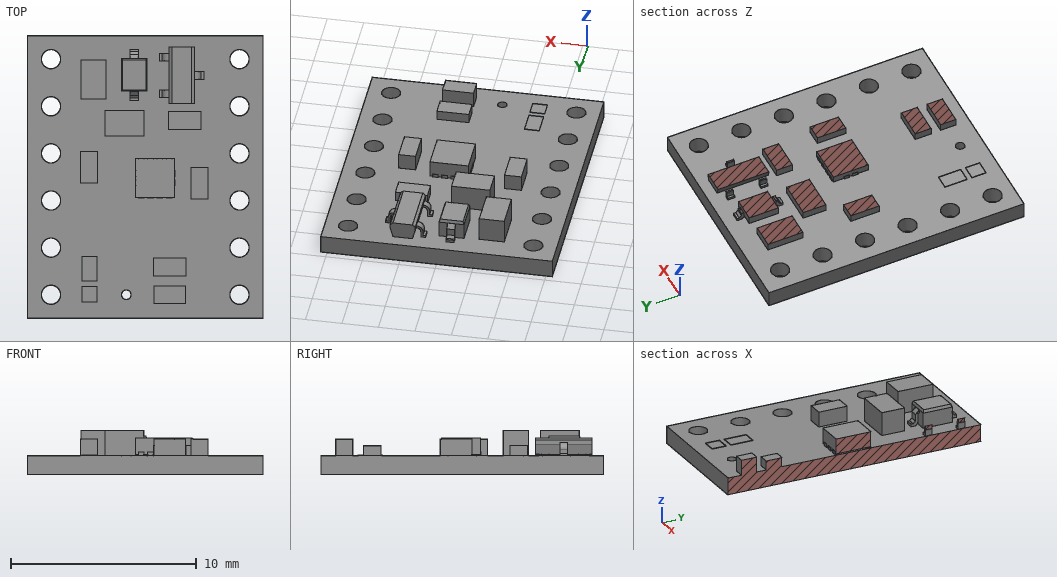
import cadquery as cq

BOARD_LENGTH = 15.24
HOLES_PER_ROW = 6
HOLE_PITCH = BOARD_LENGTH / HOLES_PER_ROW
BOARD_WIDTH = BOARD_LENGTH - HOLE_PITCH
BOARD_THICKNESS = 1.02
PIN_HOLE_DIAMETER = 1.02
SMALL_HOLE_DIAMETER = 0.5
ROW_X = (BOARD_WIDTH - HOLE_PITCH) / 2
SMALL_HOLE_X = -1.02
SMALL_HOLE_Y = (HOLE_PITCH - BOARD_LENGTH) / 2

CAPACITOR_0805 = (2.1, 1.37, 1.35)
CAPACITOR_0603 = (1.7, 0.93, 0.88)
RESISTOR_0603 = (1.75, 0.96, 0.53)

CHIP_PLACEMENTS = [
    (CAPACITOR_0805, -2.79, 5.26, True),
    (CAPACITOR_0805, -1.13, 2.9, False),
    (RESISTOR_0603, 2.13, 3.05, False),
    (CAPACITOR_0603, -3.03, 0.52, True),
    (CAPACITOR_0603, 2.93, -0.34, True),
    (RESISTOR_0603, 1.33, -4.85, False),
    (CAPACITOR_0603, 1.33, -6.35, False),
]

PAD_X = -3.02
PAD_WIDTH = 0.81
PAD_THICKNESS = 0.03
LONG_PAD_Y, LONG_PAD_LENGTH = -4.95, 1.33
SHORT_PAD_Y, SHORT_PAD_LENGTH = -6.32, 0.84

SENSOR_CENTER = (0.53, -0.06)
SENSOR_SIDE = 2.1
SENSOR_TOP = 0.96
SENSOR_GAP = 0.05
CONTACT_PITCH = 0.5
CONTACT_WIDTH = 0.3
CONTACT_DEPTH = 0.27
CONTACT_HEIGHT = 0.18
CONTACT_PROTRUSION = 0.02
CONTACTS_ALONG_X = 4
CONTACTS_ALONG_Y = 2

DIODE_CENTER = (-0.6, 5.5)
DIODE_WIDTH = 1.37
DIODE_LENGTH = 1.75
DIODE_HEIGHT = 1.07
DIODE_BEVEL_HEIGHT = 0.17
DIODE_BEVEL_INSET = 0.06
DIODE_LEAD_WIDTH = 0.44
DIODE_LEAD_REACH = 1.37
DIODE_LEAD_TOP = 0.9
DIODE_LEAD_THICKNESS = 0.15
DIODE_FOOT_LENGTH = 0.12
DIODE_LOWER_BEND = 0.14
DIODE_UPPER_BEND = 0.23

TRANSISTOR_CENTER = (1.97, 5.47)
TRANSISTOR_LENGTH = 3.05
TRANSISTOR_WIDTH = 1.37
TRANSISTOR_TOP = 0.96
TRANSISTOR_BOTTOM = 0.06
TRANSISTOR_TOP_INSET = 0.15
TRANSISTOR_BOTTOM_INSET = 0.15
TRANSISTOR_SIDE_TOP = 0.84
TRANSISTOR_SIDE_BOTTOM = 0.61
TRANSISTOR_LEAD_PITCH = 0.99
TRANSISTOR_LEAD_WIDTH = 0.41
TRANSISTOR_LEAD_REACH = 1.19
TRANSISTOR_LEAD_TOP = 0.7
TRANSISTOR_LEAD_THICKNESS = 0.12
TRANSISTOR_FOOT_LENGTH = 0.14
TRANSISTOR_BEND_RADIUS = 0.37

SEAT = 0.08


def block(size_x, size_y, bottom, top, x=0.0, y=0.0):
    """Box with its bottom and top given as heights above the board's top face."""
    base = cq.Workplane("XY").workplane(offset=BOARD_THICKNESS + bottom).center(x, y)
    return base.rect(size_x, size_y).extrude(top - bottom)


def make_board():
    hole_points = [
        (side * ROW_X, (row - (HOLES_PER_ROW - 1) / 2) * HOLE_PITCH)
        for side in (-1, 1)
        for row in range(HOLES_PER_ROW)
    ]
    board = cq.Workplane("XY").rect(BOARD_WIDTH, BOARD_LENGTH).extrude(BOARD_THICKNESS)
    pin_holes = cq.Workplane("XY").pushPoints(hole_points).circle(PIN_HOLE_DIAMETER / 2)
    small_hole = cq.Workplane("XY").center(SMALL_HOLE_X, SMALL_HOLE_Y).circle(SMALL_HOLE_DIAMETER / 2)
    return board.cut(pin_holes.extrude(BOARD_THICKNESS)).cut(small_hole.extrude(BOARD_THICKNESS))


def make_chip(size, x, y, along_y):
    length, width, height = size
    if along_y:
        return block(width, length, -SEAT, height, x, y)
    return block(length, width, -SEAT, height, x, y)


def make_contacts(count):
    """Row of contacts on the -Y side of a sensor centred on the origin."""
    row_y = -SENSOR_SIDE / 2 - CONTACT_PROTRUSION + CONTACT_DEPTH / 2
    row = cq.Workplane("XY")
    for index in range(count):
        x = (index - (count - 1) / 2) * CONTACT_PITCH
        row = row.union(block(CONTACT_WIDTH, CONTACT_DEPTH, -SEAT, CONTACT_HEIGHT, x, row_y))
    return row


def make_sensor():
    sensor = block(SENSOR_SIDE, SENSOR_SIDE, SENSOR_GAP, SENSOR_TOP)
    for angle, count in (
        (0, CONTACTS_ALONG_X),
        (90, CONTACTS_ALONG_Y),
        (180, CONTACTS_ALONG_X),
        (270, CONTACTS_ALONG_Y),
    ):
        sensor = sensor.union(make_contacts(count).rotate((0, 0, 0), (0, 0, 1), angle))
    return sensor.translate((*SENSOR_CENTER, 0))


def make_diode_lead():
    """Lead bent down on the +Y side of a diode centred on the origin."""
    foot_end = DIODE_LEAD_REACH - DIODE_FOOT_LENGTH
    outer = foot_end - DIODE_LOWER_BEND
    inner = outer - DIODE_LEAD_THICKNESS
    root = DIODE_LENGTH / 2 - DIODE_LEAD_THICKNESS
    underside = DIODE_LEAD_TOP - DIODE_LEAD_THICKNESS
    lead = (
        cq.Workplane("YZ", origin=(0, 0, BOARD_THICKNESS))
        .moveTo(DIODE_LEAD_REACH, -SEAT)
        .lineTo(DIODE_LEAD_REACH, DIODE_LEAD_THICKNESS)
        .lineTo(foot_end, DIODE_LEAD_THICKNESS)
        .lineTo(outer, DIODE_LEAD_THICKNESS + DIODE_LOWER_BEND)
        .lineTo(outer, DIODE_LEAD_TOP - DIODE_UPPER_BEND)
        .lineTo(outer - DIODE_UPPER_BEND, DIODE_LEAD_TOP)
        .lineTo(root, DIODE_LEAD_TOP)
        .lineTo(root, underside)
        .lineTo(inner - DIODE_UPPER_BEND + DIODE_LEAD_THICKNESS, underside)
        .lineTo(inner, underside - DIODE_UPPER_BEND + DIODE_LEAD_THICKNESS)
        .lineTo(inner, DIODE_LOWER_BEND)
        .lineTo(inner + DIODE_LOWER_BEND, 0)
        .lineTo(inner + DIODE_LOWER_BEND, -SEAT)
        .close()
    )
    return lead.extrude(DIODE_LEAD_WIDTH / 2, both=True)


def make_diode():
    body = block(DIODE_WIDTH, DIODE_LENGTH, -SEAT, DIODE_HEIGHT)
    body = body.faces(">Z").chamfer(DIODE_BEVEL_HEIGHT, DIODE_BEVEL_INSET)
    lead = make_diode_lead()
    diode = body.union(lead).union(lead.mirror("XZ"))
    return diode.translate((*DIODE_CENTER, 0))


def make_transistor_lead():
    """Lead with a rounded shoulder on the +X side of a transistor centred on the origin."""
    outer = TRANSISTOR_LEAD_REACH - TRANSISTOR_FOOT_LENGTH
    inner = outer - TRANSISTOR_LEAD_THICKNESS
    root = TRANSISTOR_WIDTH / 2 - TRANSISTOR_BOTTOM_INSET
    underside = TRANSISTOR_LEAD_TOP - TRANSISTOR_LEAD_THICKNESS
    inner_radius = TRANSISTOR_BEND_RADIUS - TRANSISTOR_LEAD_THICKNESS
    lead = (
        cq.Workplane("XZ", origin=(0, 0, BOARD_THICKNESS))
        .moveTo(TRANSISTOR_LEAD_REACH, -SEAT)
        .lineTo(TRANSISTOR_LEAD_REACH, TRANSISTOR_LEAD_THICKNESS)
        .lineTo(outer, TRANSISTOR_LEAD_THICKNESS)
        .lineTo(outer, TRANSISTOR_LEAD_TOP - TRANSISTOR_BEND_RADIUS)
        .radiusArc((outer - TRANSISTOR_BEND_RADIUS, TRANSISTOR_LEAD_TOP), -TRANSISTOR_BEND_RADIUS)
        .lineTo(root, TRANSISTOR_LEAD_TOP)
        .lineTo(root, underside)
        .lineTo(inner - inner_radius, underside)
        .radiusArc((inner, underside - inner_radius), inner_radius)
        .lineTo(inner, -SEAT)
        .close()
    )
    return lead.extrude(TRANSISTOR_LEAD_WIDTH / 2, both=True)


def make_transistor():
    side = TRANSISTOR_WIDTH / 2
    top_side = side - TRANSISTOR_TOP_INSET
    bottom_side = side - TRANSISTOR_BOTTOM_INSET
    profile = [
        (-bottom_side, TRANSISTOR_BOTTOM),
        (bottom_side, TRANSISTOR_BOTTOM),
        (side, TRANSISTOR_SIDE_BOTTOM),
        (side, TRANSISTOR_SIDE_TOP),
        (top_side, TRANSISTOR_TOP),
        (-top_side, TRANSISTOR_TOP),
        (-side, TRANSISTOR_SIDE_TOP),
        (-side, TRANSISTOR_SIDE_BOTTOM),
    ]
    section = cq.Workplane("XZ", origin=(0, 0, BOARD_THICKNESS)).polyline(profile).close()
    transistor = section.extrude(TRANSISTOR_LENGTH / 2, both=True)
    right_lead = make_transistor_lead()
    left_lead = right_lead.mirror("YZ")
    transistor = transistor.union(right_lead)
    for offset in (-TRANSISTOR_LEAD_PITCH, TRANSISTOR_LEAD_PITCH):
        transistor = transistor.union(left_lead.translate((0, offset, 0)))
    return transistor.translate((*TRANSISTOR_CENTER, 0))


result = make_board()
for placement in CHIP_PLACEMENTS:
    result = result.union(make_chip(*placement))
for pad_y, pad_length in ((LONG_PAD_Y, LONG_PAD_LENGTH), (SHORT_PAD_Y, SHORT_PAD_LENGTH)):
    result = result.union(block(PAD_WIDTH, pad_length, -SEAT, PAD_THICKNESS, PAD_X, pad_y))
result = result.union(make_sensor()).union(make_diode()).union(make_transistor())